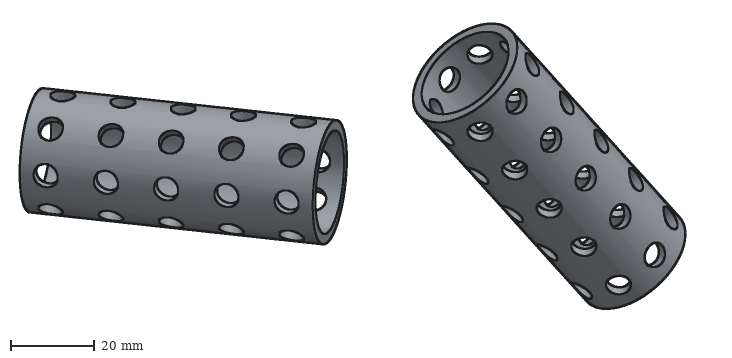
import cadquery as cq

length = 73.0
outer_diameter = 30.0
inner_diameter = 25.0

hole_diameter = 6.0
end_margin = 6.5
ring_count = 5
holes_per_ring = 8
ring_pitch = (length - 2 * end_margin) / (ring_count - 1)


def make_tube():
    return (
        cq.Workplane("YZ", origin=(-length / 2, 0, 0))
        .circle(outer_diameter / 2)
        .circle(inner_diameter / 2)
        .extrude(length)
    )


def make_drill_row(angle):
    """Pins across the full diameter, one per ring, turned about the tube axis."""
    return (
        cq.Workplane("XY")
        .rarray(ring_pitch, 0.7, ring_count, 1)
        .circle(hole_diameter / 2)
        .extrude(outer_diameter, both=True)
        .rotate((0, 0, 0), (1, 0, 0), angle)
    )


result = make_tube()

for row in range(holes_per_ring // 2):
    result = result.cut(make_drill_row(row * 360 / holes_per_ring))